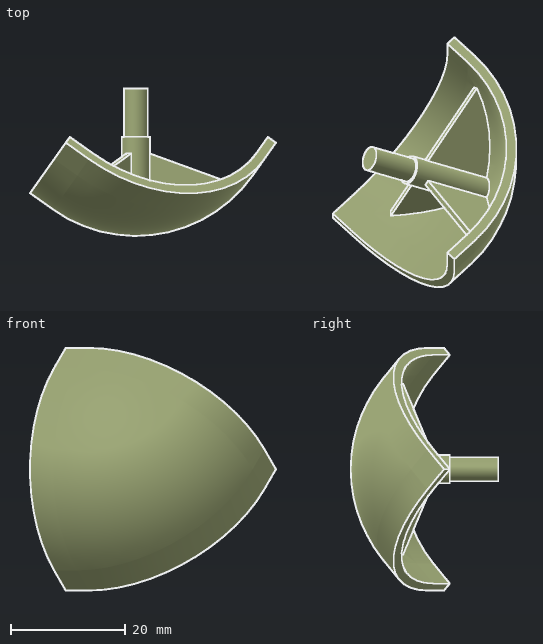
import cadquery as cq
import math

ball_radius = 25.0
wall = 1.75
band_width = 5.0

collar_diameter = 5.0
pin_diameter = 4.2
collar_end_y = -7.65
pin_end_y = 0.8

rib_count = 3
rib_thickness = 1.0
rib_top_y = -10.55
rib_slope = math.radians(20)


def cycle_axes(solid, turns):
    """Turn about the cube diagonal, carrying X to Y to Z."""
    return solid.rotate((0, 0, 0), (1, 1, 1), 120 * turns)


def rounded_corner(radius):
    """Ball octant with a quarter-cylinder band on each side and a square bar along each axis."""
    octant_box = cq.Workplane("XY").box(radius, radius, radius, centered=False)
    solid = cq.Workplane("XY").sphere(radius).intersect(octant_box)

    quarter_disc = cq.Workplane("XY").lineTo(radius, 0).radiusArc((0, radius), -radius).close()
    band = quarter_disc.extrude(-band_width)
    bar = cq.Workplane("XY").box(band_width, band_width, radius + band_width, centered=False)
    bar = bar.translate((-band_width, -band_width, -band_width))

    for turns in range(3):
        solid = solid.union(cycle_axes(band, turns))
        solid = solid.union(cycle_axes(bar, turns))
    return solid


def lay_diagonal_along_y(solid):
    """Turn the cube diagonal to -Y, with one cube axis leaning toward +X."""
    diagonal_rise = math.degrees(math.atan(1 / math.sqrt(2)))
    solid = solid.rotate((0, 0, 0), (0, 0, 1), -135)
    solid = solid.rotate((0, 0, 0), (1, 0, 0), diagonal_rise)
    return solid.rotate((0, 0, 0), (0, 1, 0), 90)


def cylinder_along_y(diameter, start_y, end_y):
    base = cq.Workplane("XZ", origin=(0, start_y, 0))
    return base.circle(diameter / 2).extrude(start_y - end_y)


def rib():
    """Sloping web pointing to +X, long enough to run through the shell."""
    collar_radius = collar_diameter / 2
    reach = ball_radius
    tip_y = rib_top_y - (reach - collar_radius) * math.tan(rib_slope)
    profile = [
        (0, -ball_radius),
        (0, rib_top_y),
        (collar_radius, rib_top_y),
        (reach, tip_y),
        (reach, -ball_radius),
    ]
    return cq.Workplane("XY").polyline(profile).close().extrude(rib_thickness / 2, both=True)


envelope = lay_diagonal_along_y(rounded_corner(ball_radius))
cavity = lay_diagonal_along_y(rounded_corner(ball_radius - wall))
shell = envelope.cut(cavity)

support = cylinder_along_y(collar_diameter, -ball_radius, collar_end_y)
for index in range(rib_count):
    support = support.union(rib().rotate((0, 0, 0), (0, 1, 0), index * 360 / rib_count))
support = support.intersect(envelope)

pin = cylinder_along_y(pin_diameter, collar_end_y, pin_end_y)

result = shell.union(support).union(pin)